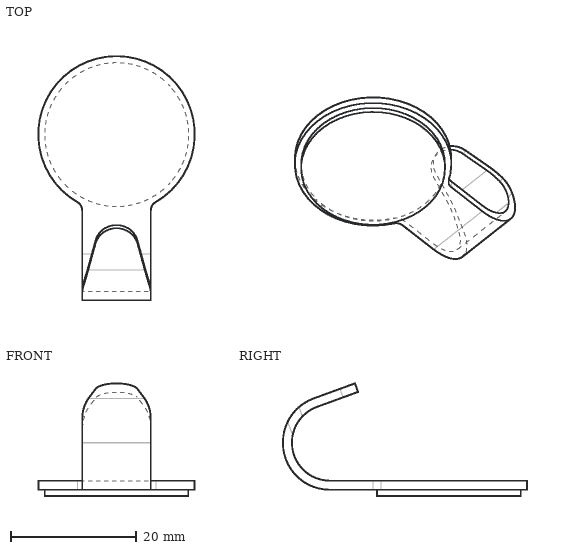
import cadquery as cq
import math

disc_diameter = 25.0
pad_diameter = 22.97
pad_thickness = 1.0
sheet_thickness = 1.5
strap_width = 11.0
neck_radius = 1.5
bend_outer_radius = 7.5
overall_length = 39.0
bend_flat = 0.08
tip_slope = 20.0
tip_length = 7.02
tip_taper = 14.5
tip_root_width = 8.97
shoulder_radius = 10.0

disc_radius = disc_diameter / 2
strap_half = strap_width / 2
bend_distance = overall_length - disc_radius - bend_outer_radius
bend_inner_radius = bend_outer_radius - sheet_thickness
lower_bend_z = pad_thickness + bend_outer_radius
upper_bend_z = lower_bend_z + bend_flat
slope = math.radians(tip_slope)
taper = math.radians(tip_taper)
tip_radius = (
    tip_root_width / 2 * math.cos(taper) - tip_length * math.sin(taper)
) / (1 - math.sin(taper))


def bend_point(radius, along=0.0):
    """Point (Y, Z) at the end of the bend, moved along the straight lip."""
    y = -bend_distance - radius * math.sin(slope) + along * math.cos(slope)
    z = upper_bend_z + radius * math.cos(slope) + along * math.sin(slope)
    return y, z


def upper_arc_middle(radius):
    """Point (Y, Z) halfway round the upper arc of the bend."""
    half_angle = (math.pi / 2 - slope) / 2
    y = -bend_distance - radius * math.cos(half_angle)
    z = upper_bend_z + radius * math.sin(half_angle)
    return y, z


def lower_arc_middle(radius):
    """Point (Y, Z) halfway round the lower quarter arc of the bend."""
    offset = radius * math.sqrt(0.5)
    return -bend_distance - offset, lower_bend_z - offset


def make_plate():
    """Flat disc and straight strap, with filleted necks between them."""
    disc = cq.Workplane("XY").circle(disc_radius).extrude(sheet_thickness)
    strap = (
        cq.Workplane("XY")
        .rect(strap_width, bend_distance)
        .extrude(sheet_thickness)
        .translate((0, -bend_distance / 2, 0))
    )
    neck_y = -math.sqrt(disc_radius**2 - strap_half**2)
    neck_edges = cq.selectors.BoxSelector(
        (-strap_width, neck_y - neck_radius, -sheet_thickness),
        (strap_width, neck_y + neck_radius, 2 * sheet_thickness),
    )
    plate = disc.union(strap).edges("|Z").edges(neck_edges).fillet(neck_radius)
    return plate.translate((0, 0, pad_thickness))


def make_curl():
    """Full-width bend and lip, swept across the strap width."""
    return (
        cq.Workplane("YZ")
        .moveTo(-bend_distance, pad_thickness)
        .threePointArc(
            lower_arc_middle(bend_outer_radius),
            (-bend_distance - bend_outer_radius, lower_bend_z),
        )
        .lineTo(-bend_distance - bend_outer_radius, upper_bend_z)
        .threePointArc(upper_arc_middle(bend_outer_radius), bend_point(bend_outer_radius))
        .lineTo(*bend_point(bend_outer_radius, tip_length))
        .lineTo(*bend_point(bend_inner_radius, tip_length))
        .lineTo(*bend_point(bend_inner_radius))
        .threePointArc(
            upper_arc_middle(bend_inner_radius),
            (-bend_distance - bend_inner_radius, upper_bend_z),
        )
        .lineTo(-bend_distance - bend_inner_radius, lower_bend_z)
        .threePointArc(
            lower_arc_middle(bend_inner_radius),
            (-bend_distance, pad_thickness + sheet_thickness),
        )
        .close()
        .extrude(strap_half, both=True)
    )


def make_lip_trim():
    """Material around the tapered lip outline, square to the lip face."""
    lip_plane = cq.Plane(
        origin=(0, -bend_distance, upper_bend_z),
        xDir=(1, 0, 0),
        normal=(0, -math.sin(slope), math.cos(slope)),
    )
    shoulder_y = -(strap_half - tip_root_width / 2) / math.tan(taper)
    tip_half = tip_radius * math.cos(taper)
    tip_start = tip_length - tip_radius * (1 - math.sin(taper))
    back_y = -2 * bend_outer_radius
    height = 2 * bend_outer_radius
    outline = (
        cq.Workplane(lip_plane)
        .moveTo(-strap_half, back_y)
        .lineTo(strap_half, back_y)
        .lineTo(strap_half, shoulder_y)
        .lineTo(tip_half, tip_start)
        .threePointArc((0, tip_length), (-tip_half, tip_start))
        .lineTo(-strap_half, shoulder_y)
        .close()
        .extrude(height)
    )
    across_sheet = cq.selectors.ParallelDirSelector(lip_plane.zDir)
    shoulder_edges = cq.selectors.CenterNthSelector(lip_plane.yDir, 1)
    outline = outline.edges(across_sheet).edges(shoulder_edges).fillet(shoulder_radius)
    block = cq.Workplane(lip_plane).rect(2 * strap_width, 2 * height).extrude(height)
    return block.cut(outline)


def make_hook():
    """One-piece sheet hook: plate, bend and tapered lip."""
    return make_plate().union(make_curl().cut(make_lip_trim()))


def make_pad():
    """Round adhesive pad under the disc."""
    return cq.Workplane("XY").circle(pad_diameter / 2).extrude(pad_thickness)


hook = make_hook()
pad = make_pad()

result = cq.Compound.makeCompound([hook.val(), pad.val()])